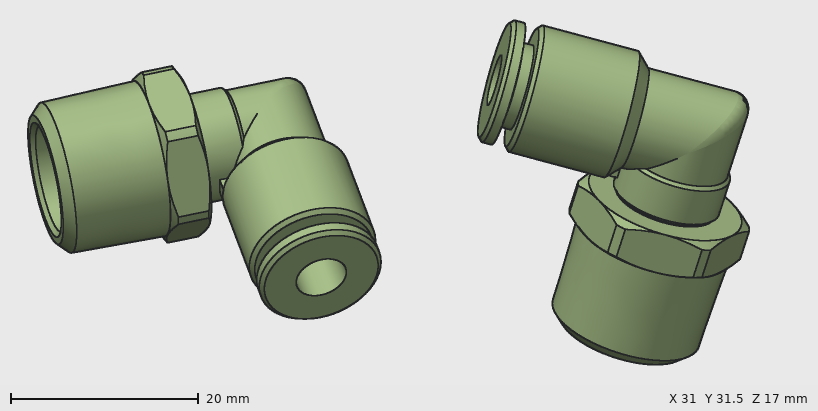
import cadquery as cq
import math

bore_radius = 2.77

elbow_radius = 5.5
elbow_round = 1.5

socket_radius = 7.0
socket_start = 5.92
socket_end = 18.45
socket_taper = socket_radius - elbow_radius
socket_chamfer = 0.47
neck_radius = 4.65
neck_end = 19.7
neck_flare = 0.3
flange_radius = 6.75
flange_end = 21.48
flange_chamfer = 0.45

collar_radius = 5.9
collar_start = 3.55
collar_top_chamfer = collar_radius - elbow_radius
collar_end_chamfer = 0.5
hex_start = 8.5
hex_end = 13.05
hex_flats = 17.0
hex_corner_radius = 9.5
hex_face_radius = hex_flats / 2
hex_chamfer = (hex_corner_radius - hex_face_radius) * math.tan(math.radians(30))
thread_top_radius = 8.45
thread_tip_radius = 8.2
thread_end = 24.5
thread_chamfer = 1.15

web_depth = 6.87
web_thickness = 1.9

mouth_radius = 6.25
cavity_radius = 5.73
cavity_depth = 12.6
drill_half_angle = math.radians(59)
cavity_cone_depth = (cavity_radius - bore_radius) / math.tan(drill_half_angle)


def turn_x(profile):
    """Revolve (distance, radius) points about the X axis."""
    points = [(profile[0][0], 0)] + profile + [(profile[-1][0], 0)]
    return cq.Workplane("XY").polyline(points).close().revolve(360, (0, 0), (1, 0))


def turn_y(profile):
    """Revolve (distance, radius) points about the -Y axis."""
    return turn_x(profile).rotate((0, 0, 0), (0, 0, 1), -90)


def make_elbow():
    """Two equal cylinders meeting at a 45 degree mitre, rounded on the outside."""
    reach = 2 * elbow_radius
    corner = [(-reach, reach), (reach, reach), (reach, -reach)]
    mitre = cq.Workplane("XY").polyline(corner).close().extrude(reach, both=True)
    arm_x = turn_x([(-reach, elbow_radius), (socket_start, elbow_radius)]).intersect(mitre)
    arm_y = turn_y([(-reach, elbow_radius), (hex_start, elbow_radius)]).cut(mitre)

    block = cq.Workplane("XY").box(2 * reach, 2 * reach, 2 * reach)
    outer_x = arm_x.intersect(block.translate((0, reach, 0)))
    outer_y = arm_y.intersect(block.translate((-reach, 0, 0)))
    outer_edge = cq.selectors.BoxSelector((-reach, 0.3, -reach), (-0.3, reach, reach))
    outer = outer_x.union(outer_y).edges(outer_edge).fillet(elbow_round)

    inner_x = arm_x.intersect(block.translate((0, -reach, 0)))
    inner_y = arm_y.intersect(block.translate((reach, 0, 0)))
    return outer.union(inner_x).union(inner_y)


def make_tube_arm():
    """Socket with a tapered shoulder, then the neck and flange of the release sleeve."""
    return turn_x([
        (socket_start, elbow_radius),
        (socket_start + socket_taper, socket_radius),
        (socket_end - socket_chamfer, socket_radius),
        (socket_end, socket_radius - socket_chamfer),
        (socket_end, neck_radius),
        (neck_end, neck_radius),
        (neck_end + neck_flare, neck_radius + neck_flare),
        (neck_end + neck_flare, flange_radius),
        (flange_end - flange_chamfer, flange_radius),
        (flange_end, flange_radius - flange_chamfer),
    ])


def make_collar():
    return turn_y([
        (collar_start, elbow_radius),
        (collar_start + collar_top_chamfer, collar_radius),
        (hex_start - collar_end_chamfer, collar_radius),
        (hex_start, collar_radius - collar_end_chamfer),
    ])


def make_web():
    """Flat web filling the corner between the collar and the socket shoulder."""
    return cq.Workplane("XY").box(
        socket_start + socket_taper, web_depth, web_thickness, centered=(False, False, True)
    ).translate((0, -web_depth, 0))


def make_hex():
    """Hexagon with corners on +X and -X, trimmed by a turned, chamfered blank."""
    across_corners = hex_flats / math.cos(math.radians(30))
    prism = (
        cq.Workplane("XZ", origin=(0, -hex_start, 0))
        .polygon(6, across_corners)
        .extrude(hex_end - hex_start)
    )
    blank = turn_y([
        (hex_start, hex_face_radius),
        (hex_start + hex_chamfer, hex_corner_radius),
        (hex_end - hex_chamfer, hex_corner_radius),
        (hex_end, hex_face_radius),
    ])
    return prism.intersect(blank)


def make_thread():
    return turn_y([
        (hex_end, thread_top_radius),
        (thread_end - thread_chamfer, thread_tip_radius),
        (thread_end, thread_tip_radius - thread_chamfer),
    ])


def make_passage():
    """Flow passage: bore along +X, bore along -Y, and the cavity in the threaded end."""
    cavity_floor = thread_end - cavity_depth
    bore_x = turn_x([(-bore_radius, bore_radius), (flange_end, bore_radius)])
    bore_y = turn_y([
        (0, bore_radius),
        (cavity_floor - cavity_cone_depth, bore_radius),
        (cavity_floor, cavity_radius),
        (thread_end - (mouth_radius - cavity_radius), cavity_radius),
        (thread_end, mouth_radius),
    ])
    return bore_x.union(bore_y)


body = make_elbow().union(make_tube_arm()).union(make_collar()).union(make_web())
body = body.union(make_hex()).union(make_thread())
result = body.cut(make_passage())